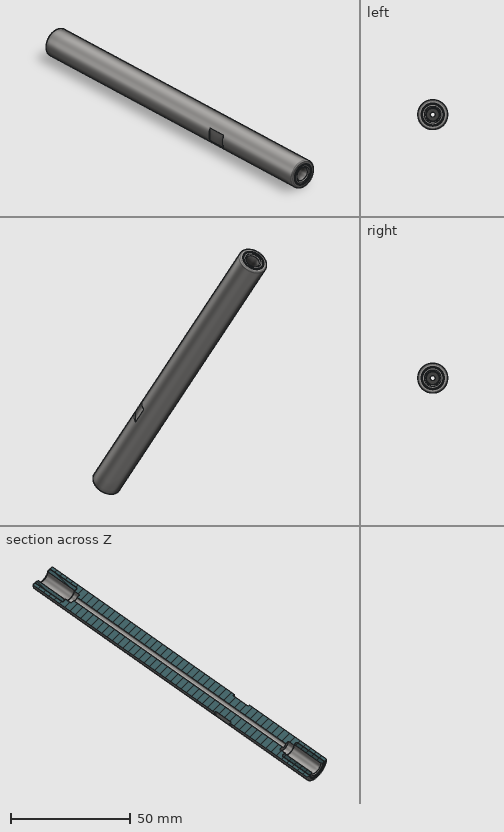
import cadquery as cq

length = 152.4
tube_diameter = 12.6
tube_rounding = 0.5
passage_diameter = 2.0

socket_diameter = 9.1
socket_depth = 15.2
relief_diameter = 5.3
relief_depth = 18.3
mouth_diameter = 9.8

insert_bore = 6.0
insert_mouth_diameter = 7.0
insert_face_diameter = 8.5

flat_start = 101.0
flat_length = 8.4
flat_spacing = 11.1

mouth_depth = (mouth_diameter - socket_diameter) / 2
bore_chamfer = (insert_mouth_diameter - insert_bore) / 2
rim_chamfer = (socket_diameter - insert_face_diameter) / 2


def cylinder(diameter, size):
    """Solid cylinder along X, starting at the -X end of the tube."""
    return cq.Workplane("YZ").circle(diameter / 2).extrude(size)


def revolved(profile):
    """Solid of revolution about the X axis from (x, radius) points."""
    return cq.Workplane("XY").polyline(profile).close().revolve(360, (0, 0, 0), (1, 0, 0))


def at_far_end(body):
    """Mirrored copy of a body for the +X end of the tube."""
    return body.mirror("YZ", (length / 2, 0, 0))


def make_socket():
    """Cutter for the -X socket, including its conical mouth and relief."""
    return revolved([
        (0, 0),
        (0, mouth_diameter / 2),
        (mouth_depth, socket_diameter / 2),
        (socket_depth, socket_diameter / 2),
        (socket_depth, relief_diameter / 2),
        (relief_depth, relief_diameter / 2),
        (relief_depth, 0),
    ])


def make_tube():
    """Tube with a through passage, a socket at each end and two wrench flats."""
    tube = cylinder(tube_diameter, length).faces("<X or >X").edges().fillet(tube_rounding)
    tube = tube.cut(cylinder(passage_diameter, length))
    socket = make_socket()
    tube = tube.cut(socket).cut(at_far_end(socket))
    for side in (-1, 1):
        flat_cutter = cq.Workplane("XY").box(flat_length, tube_diameter, tube_diameter).translate(
            (flat_start + flat_length / 2, side * (flat_spacing + tube_diameter) / 2, 0)
        )
        tube = tube.cut(flat_cutter)
    return tube


def make_insert():
    """Insert for the -X socket, with its bore and rim chamfered at the open end."""
    return revolved([
        (bore_chamfer, insert_bore / 2),
        (0, insert_mouth_diameter / 2),
        (0, insert_face_diameter / 2),
        (rim_chamfer, socket_diameter / 2),
        (socket_depth, socket_diameter / 2),
        (socket_depth, insert_bore / 2),
    ])


tube = make_tube()
near_insert = make_insert()
inserts = [near_insert, at_far_end(near_insert)]

result = cq.Compound.makeCompound([tube.val(), *[insert.val() for insert in inserts]])